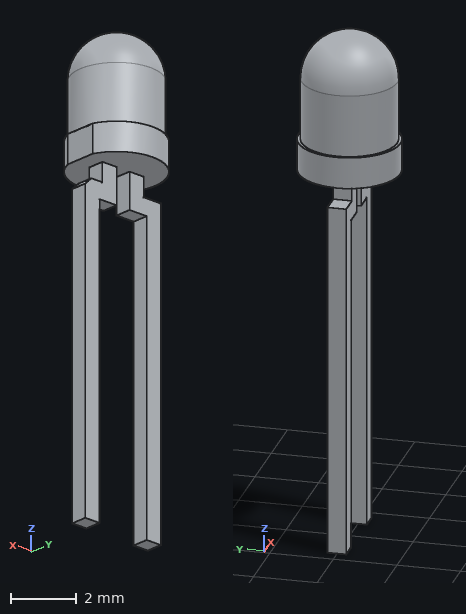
import cadquery as cq

TOTAL_HEIGHT = 16.5

LENS_DIAMETER = 3.0
LENS_RADIUS = LENS_DIAMETER / 2
FLANGE_DIAMETER = 3.2
FLANGE_HEIGHT = 1.0
BARREL_HEIGHT = 2.0
LENS_BASE_Z = TOTAL_HEIGHT - LENS_RADIUS - BARREL_HEIGHT - FLANGE_HEIGHT

LEAD_WIDTH = 0.6
LEAD_SPACING = 2.54
LEAD_OUTER_X = (LEAD_SPACING + LEAD_WIDTH) / 2
LEAD_INNER_X = LEAD_OUTER_X - LEAD_WIDTH
NECK_INNER_X = 0.26
NECK_OUTER_X = NECK_INNER_X + LEAD_WIDTH
SHOULDER_TOP_Z = 11.32
SHOULDER_BOTTOM_Z = SHOULDER_TOP_Z - LEAD_WIDTH
SHOULDER_CHAMFER = 0.25


def make_lens():
    """Flange, barrel and hemispherical dome as one solid of the LED."""
    flange = cq.Workplane("XY").circle(FLANGE_DIAMETER / 2).extrude(FLANGE_HEIGHT)

    flat_cutter = (
        cq.Workplane("XY")
        .box(FLANGE_DIAMETER, FLANGE_DIAMETER, FLANGE_HEIGHT, centered=(False, True, False))
        .translate((LENS_RADIUS, 0, 0))
    )
    flange = flange.cut(flat_cutter)

    barrel_top = FLANGE_HEIGHT + BARREL_HEIGHT
    domed_barrel = (
        cq.Workplane("XZ")
        .lineTo(LENS_RADIUS, 0)
        .lineTo(LENS_RADIUS, barrel_top)
        .radiusArc((0, barrel_top + LENS_RADIUS), -LENS_RADIUS)
        .close()
        .revolve(360, (0, 0, 0), (0, 1, 0))
    )
    return flange.union(domed_barrel).translate((0, 0, LENS_BASE_Z))


def make_lead(side):
    """One stepped lead, on the +X (side = 1) or -X (side = -1) half."""
    outline = [
        (NECK_INNER_X, LENS_BASE_Z),
        (NECK_OUTER_X, LENS_BASE_Z),
        (NECK_OUTER_X, SHOULDER_TOP_Z),
        (LEAD_OUTER_X, SHOULDER_TOP_Z),
        (LEAD_OUTER_X, 0),
        (LEAD_INNER_X, 0),
        (LEAD_INNER_X, SHOULDER_BOTTOM_Z),
        (NECK_INNER_X, SHOULDER_BOTTOM_Z),
    ]
    return (
        cq.Workplane("XZ")
        .polyline([(side * x, z) for x, z in outline])
        .close()
        .extrude(LEAD_WIDTH / 2, both=True)
    )


def chamfer_shoulder(lead):
    """Bevel the outer top corner that marks the lead on the flat side."""
    corner = cq.selectors.NearestToPointSelector((LEAD_OUTER_X, 0, SHOULDER_TOP_Z))
    return lead.edges("|Y").edges(corner).chamfer(SHOULDER_CHAMFER)


lens = make_lens()
leads = [make_lead(side) for side in (-1, 1)]
leads[1] = chamfer_shoulder(leads[1])

result = cq.Compound.makeCompound([lens.val(), *[lead.val() for lead in leads]])